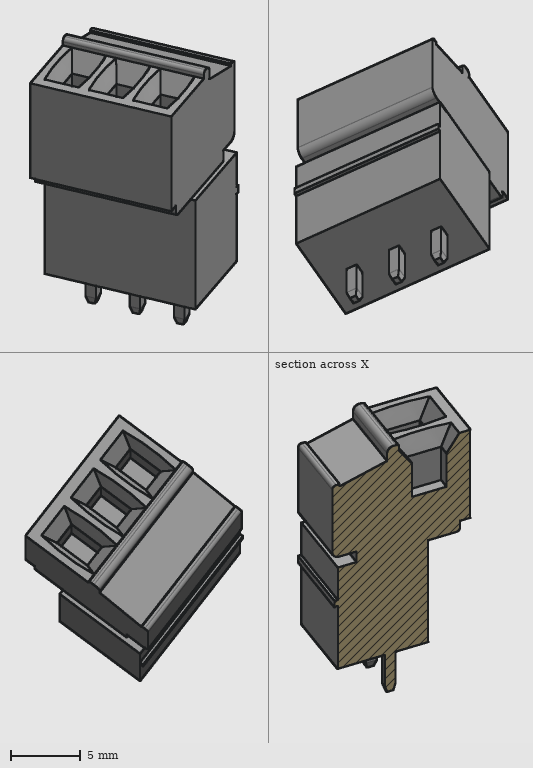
import cadquery as cq
import math

poles = 3
pitch = 3.5
pole_places = [(i - (poles - 1) / 2) * pitch for i in range(poles)]

total_height = 22.1
pin_length = 3.4
base_height = 9.2
foot_height = 0.9
ridge_height = 0.6

base_top = pin_length + base_height
housing_bottom = base_top + foot_height
housing_top = total_height - ridge_height

housing_width = 11.14
housing_depth = 11.1
ridge_front = 5.7
ridge_width = 1.0
ridge_back_radius = 0.5
ridge_front_radius = 0.29
ridge_back = ridge_front + ridge_width
slope_angle = 15
slope_top = 20.9
lip_width = 0.6
lip_height = 0.2
lip_radius = 0.3
back_bottom_radius = 0.6
lip_front = housing_depth - lip_width
slope_bottom = slope_top - (lip_front - ridge_back) * math.tan(math.radians(slope_angle))
lip_top = slope_bottom + lip_height

foot_front = 0.82
foot_back = 9.15
foot_radius = 0.3

base_width = 11.9
base_front = 3.38
base_back = 10.65
rib_thickness = 0.27
rib_bottom = 9.08
rib_height = 0.6

well_front = 0.9
well_length = ridge_front - well_front
well_centre = well_front + well_length / 2
well_end_width = 2.7
well_mid_width = 3.0
throat_width = 1.72
throat_length = 2.75
funnel_depth = 1.5
throat_depth = 3.0

pin_width = 0.85
pin_thickness = 0.88
pin_centre = 6.43
tip_height = 0.6
tip_width = 0.49
tip_thickness = 0.53


def extrude_side_outline(outline, width):
    """Extrude a closed Y-Z outline symmetrically about the middle of the part."""
    return outline.close().extrude(width / 2, both=True)


def make_housing():
    outline = (
        cq.Workplane("YZ")
        .moveTo(0, housing_bottom)
        .lineTo(0, housing_top)
        .lineTo(ridge_front, housing_top)
        .lineTo(ridge_front, total_height - ridge_front_radius)
        .radiusArc((ridge_front + ridge_front_radius, total_height), ridge_front_radius)
        .lineTo(ridge_back - ridge_back_radius, total_height)
        .radiusArc((ridge_back, total_height - ridge_back_radius), ridge_back_radius)
        .lineTo(ridge_back, slope_top)
        .lineTo(lip_front, slope_bottom)
        .lineTo(lip_front, lip_top)
        .lineTo(housing_depth - lip_radius, lip_top)
        .radiusArc((housing_depth, lip_top - lip_radius), lip_radius)
        .lineTo(housing_depth, housing_bottom + back_bottom_radius)
        .radiusArc((housing_depth - back_bottom_radius, housing_bottom), back_bottom_radius)
    )
    return extrude_side_outline(outline, housing_width)


def make_foot():
    outline = (
        cq.Workplane("YZ")
        .moveTo(foot_front, housing_bottom)
        .lineTo(foot_back, housing_bottom)
        .lineTo(foot_back, base_top)
        .lineTo(foot_front + foot_radius, base_top)
        .radiusArc((foot_front, base_top + foot_radius), foot_radius)
    )
    return extrude_side_outline(outline, housing_width)


def make_base():
    """Header block with a thin rib across its back."""
    centred_in_x = (True, False, False)
    block = (
        cq.Workplane("XY", origin=(0, base_front, pin_length))
        .box(base_width, base_back - base_front, base_height, centered=centred_in_x)
    )
    rib = (
        cq.Workplane("XY", origin=(0, base_back, rib_bottom))
        .box(base_width, rib_thickness, rib_height, centered=centred_in_x)
    )
    return block.union(rib)


def make_pin(x):
    """Rectangular pin with a tapered tip."""
    tip = (
        cq.Workplane("XY")
        .center(x, pin_centre)
        .rect(tip_width, tip_thickness)
        .workplane(offset=tip_height)
        .rect(pin_width, pin_thickness)
        .loft(ruled=True)
    )
    shank = (
        cq.Workplane("XY", origin=(x, pin_centre, tip_height))
        .rect(pin_width, pin_thickness)
        .extrude(pin_length - tip_height)
    )
    return shank.union(tip)


def make_well(x):
    """Funnel with bowed long sides, leading into a rectangular throat."""
    half_end = well_end_width / 2
    half_mid = well_mid_width / 2
    half_length = well_length / 2
    funnel = (
        cq.Workplane("XY", origin=(x, well_centre, housing_top))
        .moveTo(-half_end, -half_length)
        .lineTo(half_end, -half_length)
        .threePointArc((half_mid, 0), (half_end, half_length))
        .lineTo(-half_end, half_length)
        .threePointArc((-half_mid, 0), (-half_end, -half_length))
        .close()
        .workplane(offset=-funnel_depth)
        .rect(throat_width, throat_length)
        .loft(ruled=True)
    )
    throat = (
        cq.Workplane("XY", origin=(x, well_centre, housing_top - funnel_depth))
        .rect(throat_width, throat_length)
        .extrude(-throat_depth)
    )
    return funnel.union(throat)


result = make_housing().union(make_foot()).union(make_base())
for place in pole_places:
    result = result.union(make_pin(place)).cut(make_well(place))